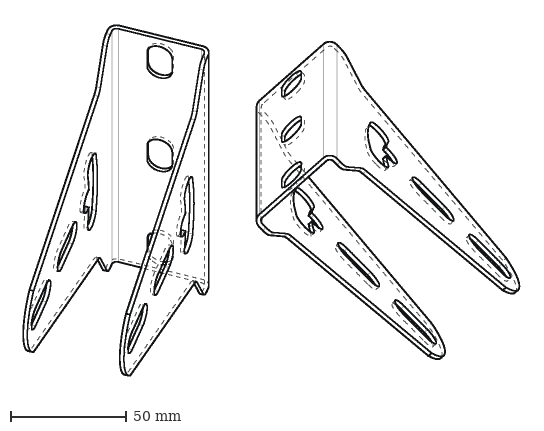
import cadquery as cq
import math

width = 46.0
height = 150.0
reach = 120.2
thickness = 2.0
bend_radius = 4.0

shoulder_end = 9.3
root_reach = 20.7
root_half_height = 53.1
tip_corner_reach = 111.6
tip_half_height = 19.6
outline_radius = 5.1

slot_width = 11.4
slot_radius = slot_width / 2
back_slot_length = 20.0
back_slot_pitch = 60.0
arm_slot_length = 26.2
arm_slot_pitch = 36.0
last_slot_end = 114.5

pivot_reach = last_slot_end - slot_radius
curve_radius = 79.2
curve_end_height = 16.5
notch_end = last_slot_end - 2 * arm_slot_pitch


def bent_sheet():
    """Full-height U channel with rounded bends."""
    outer = cq.Workplane("XY").box(width, reach, height).translate((0, -reach / 2, 0))
    outer = outer.edges("|Z and >Y").fillet(bend_radius)
    inner = (
        cq.Workplane("XY")
        .box(width - 2 * thickness, reach, height)
        .translate((0, -reach / 2 - thickness, 0))
        .edges("|Z and >Y")
        .fillet(bend_radius - thickness)
    )
    return outer.cut(inner)


def across_arms(sketch):
    """Extrude a YZ sketch through both arms."""
    return sketch.extrude(width / 2, both=True)


def arm_profile():
    """Tapered arm outline with flared ends at the back and a rounded tip."""
    half_height = height / 2
    profile = across_arms(
        cq.Workplane("YZ")
        .moveTo(0, half_height)
        .lineTo(-shoulder_end, half_height)
        .lineTo(-root_reach, root_half_height)
        .lineTo(-tip_corner_reach, tip_half_height)
        .threePointArc((-reach, 0), (-tip_corner_reach, -tip_half_height))
        .lineTo(-root_reach, -root_half_height)
        .lineTo(-shoulder_end, -half_height)
        .lineTo(0, -half_height)
        .close()
    )
    for corner_reach, corner_height in ((shoulder_end, half_height), (root_reach, root_half_height)):
        for side in (1, -1):
            corner = cq.selectors.NearestToPointSelector((0, -corner_reach, side * corner_height))
            profile = profile.edges("|X").edges(corner).fillet(outline_radius)
    return profile


def back_slots():
    """Column of upright slots through the back plate."""
    return (
        cq.Workplane("XZ")
        .rarray(1.5, back_slot_pitch, 1, 3)
        .slot2D(back_slot_length, slot_width, 90)
        .extrude(2 * thickness, both=True)
    )


def arm_slots():
    """Two straight slots along the centreline of the arms."""
    last_center = last_slot_end - arm_slot_length / 2
    centers = [(-last_center + i * arm_slot_pitch, 0) for i in range(2)]
    return across_arms(cq.Workplane("YZ").pushPoints(centers).slot2D(arm_slot_length, slot_width))


def curved_slot():
    """Arc-shaped slot about the pivot, with a round-ended notch towards the tip."""
    end_angle = math.asin(curve_end_height / curve_radius)

    def at(radius, angle):
        return (-pivot_reach + radius * math.cos(angle), radius * math.sin(angle))

    outer_radius = curve_radius + slot_radius
    inner_radius = curve_radius - slot_radius
    end_y, end_z = at(curve_radius, end_angle)
    cap_y = end_y - slot_radius * math.sin(end_angle)
    cap_z = end_z + slot_radius * math.cos(end_angle)
    arc = across_arms(
        cq.Workplane("YZ")
        .moveTo(*at(outer_radius, -end_angle))
        .threePointArc(at(outer_radius, 0), at(outer_radius, end_angle))
        .threePointArc((cap_y, cap_z), at(inner_radius, end_angle))
        .threePointArc(at(inner_radius, 0), at(inner_radius, -end_angle))
        .threePointArc((cap_y, -cap_z), at(outer_radius, -end_angle))
        .close()
    )
    notch_start = pivot_reach - outer_radius
    notch_center = (notch_start + notch_end) / 2
    notch = across_arms(
        cq.Workplane("YZ").center(-notch_center, 0).slot2D(notch_end - notch_start, slot_width)
    )
    return arc.union(notch)


bracket = bent_sheet().intersect(arm_profile())
for opening in (back_slots(), arm_slots(), curved_slot()):
    bracket = bracket.cut(opening)

result = bracket